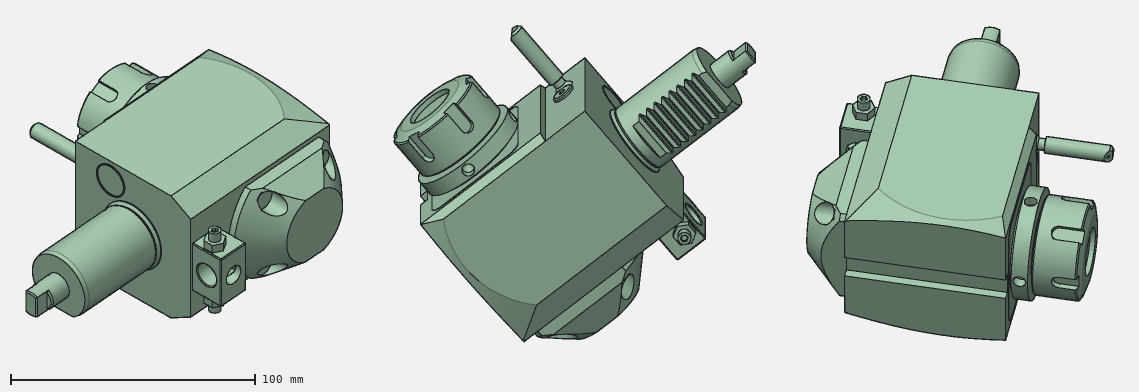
import cadquery as cq
import math


HALF_HEIGHT = 32.0
BODY_LENGTH = 84.1
BODY_LEFT = -32.0
BODY_RIGHT = 32.1
PAD_THICKNESS = 3.2
PAD_START = 20.9
PAD_LEFT = BODY_LEFT - PAD_THICKNESS
EDGE_BEVEL_WIDTH = 11.0
EDGE_BEVEL_ANGLE = 30
SWING_X = -9.3
SWING_Y = 37.2
SWING_RADIUS = 43.8
SWING_SLOPE = 18
KEYWAY_WIDTH = 10.4
KEYWAY_DEPTH = 3.6
PLUG_X = -12.5
PLUG_Z = 21.8
PLUG_RADIUS = 7.7
PLUG_GAP = 0.5
PLATE_Y_MIN = 32.5
PLATE_Y_MAX = 78.0
PLATE_HEIGHT = 53.5
PLATE_CORNER = 5.5
PLATE_RISE = 0.1

SHANK_RADIUS = 15.0
SHANK_LENGTH = 45.0
COLLAR_RADIUS = 15.9
COLLAR_RIM = 0.5
COLLAR_LENGTH = 1.6
RELIEF_RADIUS = 14.6
RELIEF_END = 2.3
END_CHAMFER_LENGTH = 2.0
END_CHAMFER_DEPTH = 0.5
FLAT_Z = -12.1
FLAT_START = 6.5
TOOTH_RUN = 28.0
TOOTH_COUNT = 8
TOOTH_PITCH = TOOTH_RUN / (TOOTH_COUNT - 1)
TOOTH_START = 11.5
TOOTH_DEPTH = 1.6
GAP_WIDTH_OUTER = 3.5
GAP_WIDTH_INNER = 0.6
DRIVE_RADIUS = 6.0
DRIVE_END = 55.3
DRIVE_CHAMFER = 0.7
TANG_END = 61.9
TANG_WIDTH = 6.4
TANG_CHAMFER = 0.6

SPINDLE_Y = 55.2
NUT_FRONT = -64.7
NUT_CONE_END = -63.0
NUT_BACK = -44.2
NUT_RADIUS = 20.9
NUT_CHAMFER = 0.6
NUT_FACE_RADIUS = 15.2
NUT_BORE_RADIUS = 10.2
NUT_BORE_DEPTH = 2.2
NUT_SLOT_COUNT = 6
NUT_SLOT_WIDTH = 5.8
NUT_SLOT_END = -50.5
NUT_SIDE_SLOT_END = -52.7
NUT_SLOT_FLOOR = 18.2
NECK_RADIUS = 16.0
RING_RADIUS = 23.5
RING_FRONT = -43.2
RING_BACK = -36.4
SEAT_RADIUS = 20.9
RING_HOLE_COUNT = 4
RING_HOLE_RADIUS = 2.6
RING_HOLE_DEPTH = 4.4
DRILL_POINT_ANGLE = 118

COVER_RADIUS = 32.1
COVER_RIM = 35.2
COVER_FACE = 50.4
COVER_TOP_Y = 79.5
COVER_HALF_HEIGHT = 23.2
COVER_SLOPE_START = 38.0
COVER_SLOPE_ANGLE = 30
COVER_SCREW_OFFSET = 17.2
COVER_SCREW_RADIUS = 4.7
COVER_SCREW_FLOOR = 38.1

BLOCK_RIGHT = 48.0
BLOCK_Y_MIN = 1.0
BLOCK_Y_MAX = 16.2
BLOCK_HEIGHT = 24.8
BLOCK_CHAMFER = 0.5
PORT_X = 40.0
PORT_RADIUS = 5.3
PORT_CHAMFER = 0.5
SIDE_PORT_RADIUS = 4.4
SIDE_PORT_Y = 8.6
SCREW_Y = 6.0
SCREW_RADIUS = 2.6
SCREW_TOP = 20.7
SCREW_SOCKET_FLATS = 2.6
SCREW_SOCKET_DEPTH = 1.5
HEX_FLATS = 8.2
HEX_TOP = 16.4

PIPE_Y = 11.0
PIPE_Z = 13.9
PIPE_TIP = -65.0
PIPE_RADIUS = 3.5
PIPE_BACK = -37.1
PIPE_TIP_CHAMFER = 1.0
PIPE_BEVEL_OFFSET = 0.6
PIPE_OUTLET_OFFSET = 1.9
PIPE_OUTLET_RADIUS = 0.6
PIPE_OUTLET_END = -59.9
PIPE_NECK_RADIUS = 2.5
PIPE_FLARE_START = -34.2
PIPE_FLARE_RADIUS = 4.4
RETAINER_Z = 7.0
RETAINER_RADIUS = 4.8
RETAINER_HEAD = 1.5
RETAINER_DOME = 0.6
RETAINER_HOLE_RADIUS = 1.3


def span(x0, x1, y0, y1, z0, z1):
    """Box between two values on each axis."""
    return cq.Workplane("XY").box(x1 - x0, y1 - y0, z1 - z0, centered=False).translate((x0, y0, z0))


def rod_x(x0, x1, radius, y, z):
    """Cylinder along X."""
    return cq.Workplane("YZ", origin=(x0, y, z)).circle(radius).extrude(x1 - x0)


def revolve_x(profile, y, z):
    """Turn (x, radius) points about the line through (y, z) parallel to X."""
    turned = cq.Workplane("XY").polyline(profile).close().revolve(360, (0, 0, 0), (1, 0, 0))
    return turned.translate((0, y, z))


def revolve_y(profile):
    """Turn (radius, y) points about the Y axis."""
    return cq.Workplane("XY").polyline(profile).close().revolve(360, (0, 0, 0), (0, 1, 0))


def prism_y(points, y0, y1):
    """Extrude (x, z) points from y0 to y1."""
    return cq.Workplane("XZ", origin=(0, y0, 0)).polyline(points).close().extrude(y0 - y1)


def mirrored(half):
    """(a, z) points of an outline symmetric about z = 0, from its upper half."""
    return half + [(a, -z) for a, z in reversed(half)]


def swing_cone():
    """Double cone about a vertical axis that limits the swing of the housing's back end."""
    mid_radius = SWING_RADIUS + HALF_HEIGHT / math.tan(math.radians(SWING_SLOPE))
    profile = [(0, HALF_HEIGHT), (SWING_RADIUS, HALF_HEIGHT), (mid_radius, 0),
               (SWING_RADIUS, -HALF_HEIGHT), (0, -HALF_HEIGHT)]
    cone = cq.Workplane("XZ").polyline(profile).close().revolve(360, (0, 0, 0), (0, 1, 0))
    return cone.translate((SWING_X, SWING_Y, 0))


def make_housing():
    """Bevelled block with a raised left side, conical back end, keyway, plug and cover plate."""
    bevel_drop = EDGE_BEVEL_WIDTH * math.tan(math.radians(EDGE_BEVEL_ANGLE))
    right_half = [(BODY_RIGHT - EDGE_BEVEL_WIDTH, HALF_HEIGHT), (BODY_RIGHT, HALF_HEIGHT - bevel_drop)]
    main_half = [(BODY_LEFT, HALF_HEIGHT)] + right_half
    pad_half = [(PAD_LEFT, HALF_HEIGHT - PAD_THICKNESS), (BODY_LEFT, HALF_HEIGHT), (0, HALF_HEIGHT)]
    housing = prism_y(mirrored(main_half), 0, BODY_LENGTH)
    housing = housing.union(prism_y(mirrored(pad_half), PAD_START, BODY_LENGTH))

    back = span(PAD_LEFT, BODY_RIGHT, SWING_Y, BODY_LENGTH, -HALF_HEIGHT, HALF_HEIGHT)
    housing = housing.cut(back.cut(swing_cone()))

    keyway = span(PAD_LEFT, BODY_RIGHT, BODY_LENGTH - KEYWAY_DEPTH, BODY_LENGTH,
                  -KEYWAY_WIDTH / 2, KEYWAY_WIDTH / 2)
    plug_groove = (cq.Workplane("XZ", origin=(PLUG_X, 0, PLUG_Z))
                   .circle(PLUG_RADIUS).circle(PLUG_RADIUS - PLUG_GAP).extrude(-PLUG_GAP))
    plate = span(PAD_LEFT - PLATE_RISE, BODY_LEFT, PLATE_Y_MIN, PLATE_Y_MAX,
                 -PLATE_HEIGHT / 2, PLATE_HEIGHT / 2).edges("|X").fillet(PLATE_CORNER)
    return housing.cut(keyway).cut(plug_groove).union(plate)


def make_shank():
    """Toothed clamping shank with its drive journal and tang."""
    shank = revolve_y([
        (0, BODY_LENGTH / 2), (RELIEF_RADIUS, BODY_LENGTH / 2), (RELIEF_RADIUS, 0),
        (COLLAR_RADIUS, 0), (COLLAR_RADIUS, -COLLAR_RIM), (RELIEF_RADIUS, -COLLAR_LENGTH),
        (RELIEF_RADIUS, -RELIEF_END), (SHANK_RADIUS, -RELIEF_END),
        (SHANK_RADIUS, END_CHAMFER_LENGTH - SHANK_LENGTH),
        (SHANK_RADIUS - END_CHAMFER_DEPTH, -SHANK_LENGTH),
        (DRIVE_RADIUS, -SHANK_LENGTH), (DRIVE_RADIUS, DRIVE_CHAMFER - DRIVE_END),
        (DRIVE_RADIUS - DRIVE_CHAMFER, -DRIVE_END), (0, -DRIVE_END),
    ])
    shank = shank.cut(span(-SHANK_RADIUS, SHANK_RADIUS, -SHANK_LENGTH, -FLAT_START, -SHANK_RADIUS, FLAT_Z))
    for i in range(TOOTH_COUNT):
        y = -TOOTH_START - i * TOOTH_PITCH
        gap = (cq.Workplane("YZ")
               .polyline([(y - GAP_WIDTH_OUTER / 2, FLAT_Z), (y + GAP_WIDTH_OUTER / 2, FLAT_Z),
                          (y + GAP_WIDTH_INNER / 2, FLAT_Z + TOOTH_DEPTH),
                          (y - GAP_WIDTH_INNER / 2, FLAT_Z + TOOTH_DEPTH)])
               .close().extrude(SHANK_RADIUS, both=True))
        shank = shank.cut(gap)

    tang_bar = span(-TANG_WIDTH / 2, TANG_WIDTH / 2, -TANG_END, -SHANK_LENGTH, -DRIVE_RADIUS, DRIVE_RADIUS)
    tang_round = cq.Workplane("XZ").circle(DRIVE_RADIUS).extrude(TANG_END)
    tang = tang_bar.intersect(tang_round).faces("<Y").chamfer(TANG_CHAMFER)
    return shank.union(tang)


def nut_slot(end):
    """Spanner slot on the +Z side of a nut centred on the X axis, round at its inner end."""
    half_width = NUT_SLOT_WIDTH / 2
    straight_end = end - half_width
    return (cq.Workplane("XY", origin=(0, 0, NUT_SLOT_FLOOR))
            .moveTo(NUT_FRONT, -half_width).lineTo(straight_end, -half_width)
            .threePointArc((end, 0), (straight_end, half_width))
            .lineTo(NUT_FRONT, half_width).close().extrude(NUT_RADIUS))


def make_spindle():
    """Collet nut and drilled ring on the spindle seat."""
    spindle = revolve_x([
        (NUT_FRONT + NUT_BORE_DEPTH, 0), (NUT_FRONT + NUT_BORE_DEPTH, NUT_BORE_RADIUS),
        (NUT_FRONT, NUT_BORE_RADIUS), (NUT_FRONT, NUT_FACE_RADIUS),
        (NUT_CONE_END, NUT_RADIUS - NUT_CHAMFER), (NUT_CONE_END + NUT_CHAMFER, NUT_RADIUS),
        (NUT_BACK - NUT_CHAMFER, NUT_RADIUS), (NUT_BACK, NUT_RADIUS - NUT_CHAMFER),
        (NUT_BACK, NECK_RADIUS), (RING_FRONT, NECK_RADIUS), (RING_FRONT, RING_RADIUS),
        (RING_BACK, RING_RADIUS), (RING_BACK, SEAT_RADIUS), (0, SEAT_RADIUS), (0, 0),
    ], SPINDLE_Y, 0)

    for i in range(NUT_SLOT_COUNT):
        slot = nut_slot(NUT_SIDE_SLOT_END if i % (NUT_SLOT_COUNT // 2) == 0 else NUT_SLOT_END)
        angle = 90 + i * 360 / NUT_SLOT_COUNT
        spindle = spindle.cut(slot.rotate((0, 0, 0), (1, 0, 0), angle).translate((0, SPINDLE_Y, 0)))

    ring_middle = (RING_FRONT + RING_BACK) / 2
    hole_floor = RING_RADIUS - RING_HOLE_DEPTH
    drill_point = RING_HOLE_RADIUS / math.tan(math.radians(DRILL_POINT_ANGLE / 2))
    ring_hole = (cq.Workplane("XZ").polyline([
        (0, RING_RADIUS), (RING_HOLE_RADIUS, RING_RADIUS), (RING_HOLE_RADIUS, hole_floor),
        (0, hole_floor - drill_point)])
        .close().revolve(360, (0, 0, 0), (0, 1, 0)).translate((ring_middle, 0, 0)))
    for i in range(RING_HOLE_COUNT):
        angle = i * 360 / RING_HOLE_COUNT
        spindle = spindle.cut(ring_hole.rotate((0, 0, 0), (1, 0, 0), angle).translate((0, SPINDLE_Y, 0)))
    return spindle


def make_cover():
    """Rear cover: a 45 degree cone trimmed flat on three sides, with four screw pockets."""
    face_radius = COVER_RADIUS - (COVER_FACE - COVER_RIM)
    cover = revolve_x([(0, 0), (0, COVER_RADIUS), (COVER_RIM, COVER_RADIUS),
                       (COVER_FACE, face_radius), (COVER_FACE, 0)], SPINDLE_Y, 0)
    slope_drop = (COVER_FACE - COVER_SLOPE_START) * math.tan(math.radians(COVER_SLOPE_ANGLE))
    limits = [(0, COVER_HALF_HEIGHT), (COVER_SLOPE_START, COVER_HALF_HEIGHT),
              (COVER_FACE, COVER_HALF_HEIGHT - slope_drop)]
    cover = cover.intersect(prism_y(mirrored(limits), 0, COVER_TOP_Y))
    for side_y in (-1, 1):
        for side_z in (-1, 1):
            cover = cover.cut(rod_x(COVER_SCREW_FLOOR, COVER_FACE, COVER_SCREW_RADIUS,
                                    SPINDLE_Y + side_y * COVER_SCREW_OFFSET, side_z * COVER_SCREW_OFFSET))
    return cover


def make_coolant_block():
    """Coolant block with crossing ports and a clamping screw on each side."""
    half = BLOCK_HEIGHT / 2
    block = span(0, BLOCK_RIGHT, BLOCK_Y_MIN, BLOCK_Y_MAX, -half, half)
    block = block.faces(">X or >Z or <Z").edges("not <X").chamfer(BLOCK_CHAMFER)
    port = (cq.Workplane("XZ", origin=(PORT_X, BLOCK_Y_MIN, 0))
            .circle(PORT_RADIUS).extrude(BLOCK_Y_MIN - BLOCK_Y_MAX))
    port_mouth = cq.Workplane(cq.Solid.makeCone(
        PORT_RADIUS + PORT_CHAMFER, PORT_RADIUS, PORT_CHAMFER,
        pnt=cq.Vector(PORT_X, BLOCK_Y_MIN, 0), dir=cq.Vector(0, 1, 0)))
    side_port = rod_x(PORT_X, BLOCK_RIGHT, SIDE_PORT_RADIUS, SIDE_PORT_Y, 0)
    block = block.cut(port).cut(port_mouth).cut(side_port)

    across_corners = 2 / math.sqrt(3)
    seat = cq.Workplane("XY", origin=(PORT_X, SCREW_Y, half))
    nut = seat.polygon(6, HEX_FLATS * across_corners).extrude(HEX_TOP - half)
    screw = seat.circle(SCREW_RADIUS).extrude(SCREW_TOP - half)
    socket = (cq.Workplane("XY", origin=(PORT_X, SCREW_Y, SCREW_TOP - SCREW_SOCKET_DEPTH))
              .polygon(6, SCREW_SOCKET_FLATS * across_corners).extrude(SCREW_SOCKET_DEPTH))
    fastener = nut.union(screw).cut(socket)
    return block.union(fastener).union(fastener.mirror("XY"))


def make_pipe():
    """Coolant pipe with a flared root and a slanted tip."""
    pipe = revolve_x([
        (PIPE_TIP, 0), (PIPE_TIP, PIPE_RADIUS - PIPE_TIP_CHAMFER), (PIPE_TIP + PIPE_TIP_CHAMFER, PIPE_RADIUS),
        (PIPE_BACK, PIPE_RADIUS), (PIPE_BACK, PIPE_NECK_RADIUS), (PIPE_FLARE_START, PIPE_NECK_RADIUS),
        (BODY_LEFT, PIPE_FLARE_RADIUS), (0, PIPE_FLARE_RADIUS), (0, 0),
    ], PIPE_Y, PIPE_Z)
    bevel_start = PIPE_Y + PIPE_BEVEL_OFFSET
    bevel_end = PIPE_Y + PIPE_RADIUS
    bevel = (cq.Workplane("XY").polyline([
        (PIPE_TIP, bevel_start), (PIPE_TIP + bevel_end - bevel_start, bevel_end), (PIPE_TIP, bevel_end)])
        .close().extrude(PIPE_Z + PIPE_RADIUS))
    outlet = rod_x(PIPE_TIP, PIPE_OUTLET_END, PIPE_OUTLET_RADIUS, PIPE_Y + PIPE_OUTLET_OFFSET, PIPE_Z)
    return pipe.cut(bevel).cut(outlet)


def make_retainer():
    """Drilled head of the screw that holds the coolant pipe."""
    head_front = BODY_LEFT - RETAINER_HEAD
    return revolve_x([
        (BODY_LEFT, RETAINER_HOLE_RADIUS), (head_front, RETAINER_HOLE_RADIUS),
        (head_front, RETAINER_RADIUS - RETAINER_DOME), (head_front + RETAINER_DOME, RETAINER_RADIUS),
        (BODY_LEFT, RETAINER_RADIUS),
    ], PIPE_Y, RETAINER_Z)


result = (make_housing().union(make_shank()).union(make_spindle()).union(make_cover())
          .union(make_coolant_block()).union(make_retainer()).union(make_pipe()))